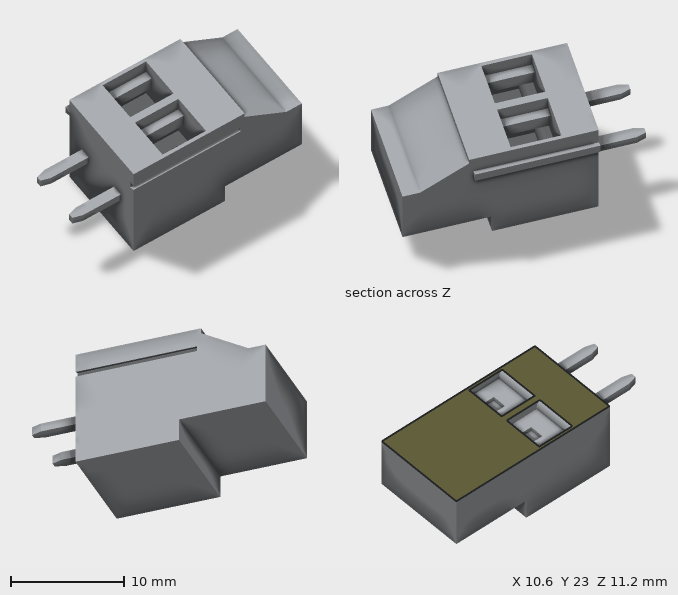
import cadquery as cq


TOTAL_WIDTH = 10.55
TOTAL_LENGTH = 23.0

WIDTH = 10.0
HEIGHT = 11.2
PIN_LENGTH = 5.0
LENGTH = TOTAL_LENGTH - PIN_LENGTH
NOSE_DROP = 3.13
NOSE_FLAT = 1.63
SLOPE_END = 6.12
STEP_DROP = 0.5
UNDERCUT_LENGTH = 8.2
UNDERCUT_HEIGHT = 2.15

PITCH = 5.0
POLE_X = [WIDTH / 2 - PITCH / 2, WIDTH / 2 + PITCH / 2]

RAIL_DEPTH = TOTAL_WIDTH - WIDTH
RAIL_LENGTH = 11.5
RAIL_Z = HEIGHT - 2.05
RAIL_WIDE = 0.92
RAIL_NARROW = 0.48

PIN_WIDTH = 1.05
PIN_THICKNESS = 0.83
PIN_Z = HEIGHT - 5.5
TIP_LENGTH = 0.95
TIP_WIDTH = 0.5

OUTER_WALL = 0.35
CENTRE_WALL = 0.74
POCKET_WIDTH = (WIDTH - CENTRE_WALL) / 2 - OUTER_WALL
POCKET_X = [OUTER_WALL, WIDTH - OUTER_WALL - POCKET_WIDTH]
POCKET_LENGTH = 4.65
POCKET_Y = 3.34
POCKET_DEPTH = 4.6

BAR_GAP = 2.58
BAR_DROP = 1.52
BAR_HEIGHT = 1.4
SILL_FLAT = 0.48
SILL_RADIUS = 0.71
SILL_HEIGHT = 0.92

SLOT_WIDTH = 1.5
SLOT_LENGTH = 1.0
SLOT_BACK_GAP = 0.62
SLOT_DEPTH = 0.45


def box(x, y, z, width, length, height):
    """Block with its lowest corner at x, y, z."""
    return cq.Workplane("XY").box(width, length, height, centered=False).translate((x, y, z))


def housing():
    """Stepped side outline extruded across the full width."""
    outline = [
        (0, 0),
        (LENGTH - UNDERCUT_LENGTH, 0),
        (LENGTH - UNDERCUT_LENGTH, UNDERCUT_HEIGHT),
        (LENGTH, UNDERCUT_HEIGHT),
        (LENGTH, HEIGHT - NOSE_DROP),
        (LENGTH - NOSE_FLAT, HEIGHT - NOSE_DROP),
        (LENGTH - SLOPE_END, HEIGHT - STEP_DROP),
        (LENGTH - SLOPE_END, HEIGHT),
        (0, HEIGHT),
    ]
    return cq.Workplane("YZ").polyline(outline).close().extrude(WIDTH)


def dovetail(narrow_x):
    """Dovetail bar whose narrow edge lies at narrow_x and which widens toward -X."""
    wide_x = narrow_x - RAIL_DEPTH
    outline = [
        (narrow_x, RAIL_Z - RAIL_NARROW / 2),
        (narrow_x, RAIL_Z + RAIL_NARROW / 2),
        (wide_x, RAIL_Z + RAIL_WIDE / 2),
        (wide_x, RAIL_Z - RAIL_WIDE / 2),
    ]
    return cq.Workplane("XZ").polyline(outline).close().extrude(-RAIL_LENGTH)


def pin(pole_x):
    """Flat pin on the -Y face, tapered in width at its tip."""
    outline = [
        (pole_x - PIN_WIDTH / 2, 0),
        (pole_x - PIN_WIDTH / 2, TIP_LENGTH - PIN_LENGTH),
        (pole_x - TIP_WIDTH / 2, -PIN_LENGTH),
        (pole_x + TIP_WIDTH / 2, -PIN_LENGTH),
        (pole_x + PIN_WIDTH / 2, TIP_LENGTH - PIN_LENGTH),
        (pole_x + PIN_WIDTH / 2, 0),
    ]
    blank = cq.Workplane("XY").polyline(outline).close().extrude(PIN_THICKNESS)
    return blank.translate((0, 0, PIN_Z - PIN_THICKNESS / 2))


def sill(x):
    """Raised sill along the -Y wall of a pocket, with its free top edge rounded."""
    block = box(x, POCKET_Y, HEIGHT - POCKET_DEPTH, POCKET_WIDTH, SILL_FLAT + SILL_RADIUS, SILL_HEIGHT)
    return block.edges(">Y and >Z").fillet(SILL_RADIUS)


def pocket(x, pole_x):
    """Space removed for one screw pocket: a shaft less its two bars and sill, plus the floor slot."""
    floor_z = HEIGHT - POCKET_DEPTH
    space = box(x, POCKET_Y, floor_z, POCKET_WIDTH, POCKET_LENGTH, POCKET_DEPTH)

    bar_z = HEIGHT - BAR_DROP - BAR_HEIGHT
    bars = box(x, POCKET_Y, bar_z, POCKET_WIDTH, POCKET_LENGTH, BAR_HEIGHT)
    bars = bars.cut(box(pole_x - BAR_GAP / 2, POCKET_Y, bar_z, BAR_GAP, POCKET_LENGTH, BAR_HEIGHT))

    slot_y = POCKET_Y + POCKET_LENGTH - SLOT_BACK_GAP - SLOT_LENGTH
    slot = box(pole_x - SLOT_WIDTH / 2, slot_y, floor_z - SLOT_DEPTH, SLOT_WIDTH, SLOT_LENGTH, SLOT_DEPTH)
    return space.cut(bars).cut(sill(x)).union(slot)


result = housing().union(dovetail(0)).cut(dovetail(WIDTH))
for left_x, centre_x in zip(POCKET_X, POLE_X):
    result = result.cut(pocket(left_x, centre_x)).union(pin(centre_x))